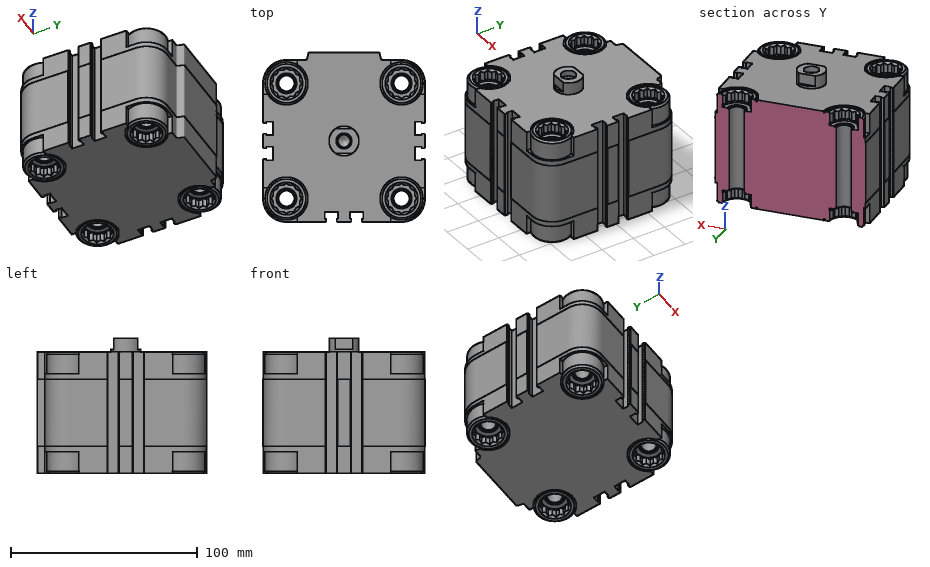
import cadquery as cq
import math


housing_width = 87.0
half_width = housing_width / 2
overall_depth = 91.0
pad_top = overall_depth - half_width
overall_height = 72.5
rod_projection = 7.5
housing_height = overall_height - rod_projection
cap_height = 14.6
cap_inset = 0.1
corner_radius = 12.65

pad_top_half_width = 19.0
pad_base_half_width = 20.0
pad_fillet = 0.8

slot_offset = 6.7
slot_mouth = 5.6
slot_width = 7.0
slot_depth = 5.4
lip_thickness = 1.9
lip_chamfer = 0.5

boss_position = half_width - corner_radius
boss_diameter = 23.0
boss_height = 11.6
boss_chamfer = 1.1
notch_size = 18.4

socket_mouth = 17.5
socket_points = 12
socket_across_flats = 14.0
socket_tip_radius = socket_across_flats / 2 / math.cos(math.radians(30))
socket_valley_radius = socket_across_flats / 2 / math.cos(math.radians(15))
socket_depth = 6.5
relief_diameter = 16.5
relief_depth = 7.7
seat_diameter = 10.9
seat_floor_diameter = 9.8
seat_depth = 0.55
screw_hole_diameter = 8.4

rod_diameter = 16.0
rod_across_flats = 13.0
flat_height = 6.0
rod_bottom = housing_height - cap_height
rod_mouth_diameter = 8.4
rod_mouth_depth = 3.5
rod_hole_diameter = 6.6
rod_hole_depth = 14.6
drill_half_angle = 59


def cone(radius, depth, top_radius=0.0):
    """Cone, or truncated cone, that narrows upward from Z = 0 to Z = depth."""
    return cq.Workplane(cq.Solid.makeCone(radius, top_radius, depth))


def corner_points(distance):
    """The four points at this distance from both centre planes."""
    return [(x, y) for x in (-distance, distance) for y in (-distance, distance)]


def housing_outline():
    """Rounded square with the port pad on its +Y side, as a closed wire."""
    outline_thickness = 0.9
    block = (
        cq.Workplane()
        .rect(housing_width, housing_width)
        .extrude(outline_thickness)
        .edges("|Z")
        .fillet(corner_radius)
    )
    pad = (
        cq.Workplane()
        .polyline([
            (-pad_base_half_width, 0),
            (-pad_base_half_width, half_width),
            (-pad_top_half_width, pad_top),
            (pad_top_half_width, pad_top),
            (pad_base_half_width, half_width),
            (pad_base_half_width, 0),
        ])
        .close()
        .extrude(outline_thickness)
        .edges("|Z and >Y")
        .fillet(pad_fillet)
    )
    outline = block.union(pad)
    for x in (-pad_base_half_width, pad_base_half_width):
        root_edge = cq.NearestToPointSelector((x, half_width, outline_thickness / 2))
        outline = outline.edges(root_edge).fillet(pad_fillet)
    return outline.faces("<Z").wires().val()


def side_slot(offset):
    """T-slot along the full height in the -Y side, centred at X = offset."""
    side = -half_width
    half_mouth = slot_mouth / 2
    mouth = (
        cq.Workplane()
        .polyline([
            (offset - half_mouth - lip_chamfer, side),
            (offset - half_mouth, side + lip_chamfer),
            (offset - half_mouth, side + slot_depth),
            (offset + half_mouth, side + slot_depth),
            (offset + half_mouth, side + lip_chamfer),
            (offset + half_mouth + lip_chamfer, side),
        ])
        .close()
        .extrude(housing_height)
    )
    channel_depth = slot_depth - lip_thickness
    channel = (
        cq.Workplane()
        .center(offset, side + slot_depth - channel_depth / 2)
        .rect(slot_width, channel_depth)
        .extrude(housing_height)
    )
    return mouth.union(channel)


def boss_cylinders():
    return (
        cq.Workplane()
        .workplane(offset=housing_height - boss_height)
        .pushPoints(corner_points(boss_position))
        .circle(boss_diameter / 2)
        .extrude(boss_height)
    )


def corner_notches():
    """Square notches in the four upper corners, with room for the bosses."""
    notch_centres = corner_points(half_width - notch_size / 2)
    base = cq.Workplane().workplane(offset=housing_height - boss_height)
    notches = base.pushPoints(notch_centres).rect(notch_size, notch_size).extrude(boss_height)
    return notches.union(boss_cylinders())


def corner_bosses():
    return boss_cylinders().faces(">Z").edges().chamfer(boss_chamfer)


def boss_socket():
    """Twelve-point socket with countersunk mouth, relief and screw seat, going up from Z = 0."""
    star_points = []
    for i in range(2 * socket_points):
        radius = socket_tip_radius if i % 2 == 0 else socket_valley_radius
        angle = math.pi * i / socket_points
        star_points.append((radius * math.cos(angle), radius * math.sin(angle)))
    star = cq.Workplane().polyline(star_points).close().extrude(socket_depth)
    mouth = cone(socket_mouth / 2, socket_mouth / 2)
    relief = (
        cq.Workplane()
        .workplane(offset=socket_depth)
        .circle(relief_diameter / 2)
        .extrude(relief_depth - socket_depth)
    )
    seat = cone(seat_diameter / 2, seat_depth, seat_floor_diameter / 2).translate((0, 0, relief_depth))
    return star.union(mouth).union(relief).union(seat)


def flip_to_top(shape):
    """Mirror a shape at the bottom of the housing to the same place at its top, or back."""
    return shape.mirror("XY", (0, 0, housing_height / 2))


def piston_rod():
    rod = (
        cq.Workplane()
        .workplane(offset=rod_bottom)
        .circle(rod_diameter / 2)
        .extrude(overall_height - rod_bottom)
    )
    cut_depth = (rod_diameter - rod_across_flats) / 2
    for side in (-1, 1):
        flat = cq.Workplane().box(2 * rod_diameter, cut_depth, flat_height, centered=(True, True, False))
        flat_centre = side * (rod_across_flats + cut_depth) / 2
        rod = rod.cut(flat.translate((0, flat_centre, overall_height - flat_height)))
    mouth_radius = rod_mouth_diameter / 2
    hole_radius = rod_hole_diameter / 2
    tip_depth = rod_hole_depth + hole_radius / math.tan(math.radians(drill_half_angle))
    step_depth = rod_mouth_depth + mouth_radius - hole_radius
    hole = (
        cq.Workplane("XZ")
        .polyline([
            (0, overall_height),
            (mouth_radius, overall_height),
            (mouth_radius, overall_height - rod_mouth_depth),
            (hole_radius, overall_height - step_depth),
            (hole_radius, overall_height - rod_hole_depth),
            (0, overall_height - tip_depth),
        ])
        .close()
        .revolve(360, (0, 0, 0), (0, 1, 0))
    )
    return rod.cut(hole).solids()


def cylinder_housing():
    outline = housing_outline()
    cap_outline = outline.offset2D(-cap_inset)[0]
    middle = (
        cq.Workplane()
        .add(outline)
        .toPending()
        .extrude(housing_height - 2 * cap_height)
        .translate((0, 0, cap_height))
    )
    body = cq.Workplane().add(cap_outline).toPending().extrude(housing_height).union(middle)

    for turn in (-90, 0, 90):
        for offset in (-slot_offset, slot_offset):
            body = body.cut(side_slot(offset).rotate((0, 0, 0), (0, 0, 1), turn))

    notches = corner_notches()
    bosses = corner_bosses()
    body = body.cut(notches).cut(flip_to_top(notches))
    body = body.union(bosses).union(flip_to_top(bosses))

    socket = boss_socket()
    for x, y in corner_points(boss_position):
        bottom_socket = socket.translate((x, y, 0))
        body = body.cut(bottom_socket).cut(flip_to_top(bottom_socket))
    screw_holes = (
        cq.Workplane()
        .pushPoints(corner_points(boss_position))
        .circle(screw_hole_diameter / 2)
        .extrude(housing_height)
    )
    body = body.cut(screw_holes)

    rod_bore = (
        cq.Workplane()
        .workplane(offset=rod_bottom)
        .circle(rod_diameter / 2)
        .extrude(housing_height - rod_bottom)
    )
    return body.cut(rod_bore).solids()


housing = cylinder_housing()
rod = piston_rod()
result = cq.Compound.makeCompound([housing.val(), rod.val()])